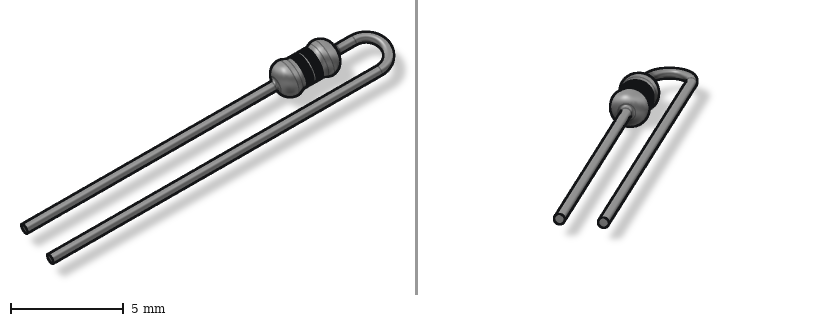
import cadquery as cq

overall_length = 19.05
wire_diameter = 0.5
lead_spacing = 2.0
body_centre_to_bend_top = 3.85

bulge_diameter = 1.8
waist_diameter = 1.52
bulge_position = 0.95
waist_half_length = 0.44
neck_diameter = 0.8
neck_position = 1.58
body_half_length = 1.73

band_diameter = 1.55
band_width = 0.11
band_positions = (0.143, 0.371)

wire_radius = wire_diameter / 2
bend_radius = lead_spacing / 2
bend_start = body_centre_to_bend_top - wire_radius - bend_radius
lead_end = body_centre_to_bend_top - overall_length


def make_body():
    """Dumbbell body: waist, then an S-shaped shoulder, dome and neck fillet at each end."""
    bulge_radius = bulge_diameter / 2
    waist_radius = waist_diameter / 2
    shoulder_middle = (
        (waist_radius + bulge_radius) / 2,
        (waist_half_length + bulge_position) / 2,
    )
    neck_rise = neck_diameter / 2 - wire_radius
    neck_length = body_half_length - neck_position
    fillet_radius = (neck_rise**2 + neck_length**2) / (2 * neck_rise)
    return (
        cq.Workplane("XY")
        .moveTo(waist_radius, 0)
        .lineTo(waist_radius, waist_half_length)
        .tangentArcPoint(shoulder_middle, relative=False)
        .tangentArcPoint((bulge_radius, bulge_position), relative=False)
        .tangentArcPoint((neck_diameter / 2, neck_position), relative=False)
        .radiusArc((wire_radius, body_half_length), fillet_radius)
        .lineTo(0, body_half_length)
        .mirrorX()
        .revolve(360, (0, 0, 0), (0, 1, 0))
    )


def make_band(position):
    """Thin raised ring centred at the given place on the axis."""
    return (
        cq.Workplane("XZ", origin=(0, position + band_width / 2, 0))
        .circle(band_diameter / 2)
        .extrude(band_width)
    )


def make_wire():
    """Round wire with a U-bend behind the body and two leads ending level."""
    path = (
        cq.Workplane("XY")
        .moveTo(0, lead_end)
        .lineTo(0, bend_start)
        .threePointArc((bend_radius, bend_start + bend_radius), (lead_spacing, bend_start))
        .lineTo(lead_spacing, lead_end)
    )
    return cq.Workplane("XZ", origin=(0, lead_end, 0)).circle(wire_radius).sweep(path)


result = make_wire().union(make_body())
for distance in band_positions:
    for side in (-1, 1):
        result = result.union(make_band(side * distance))